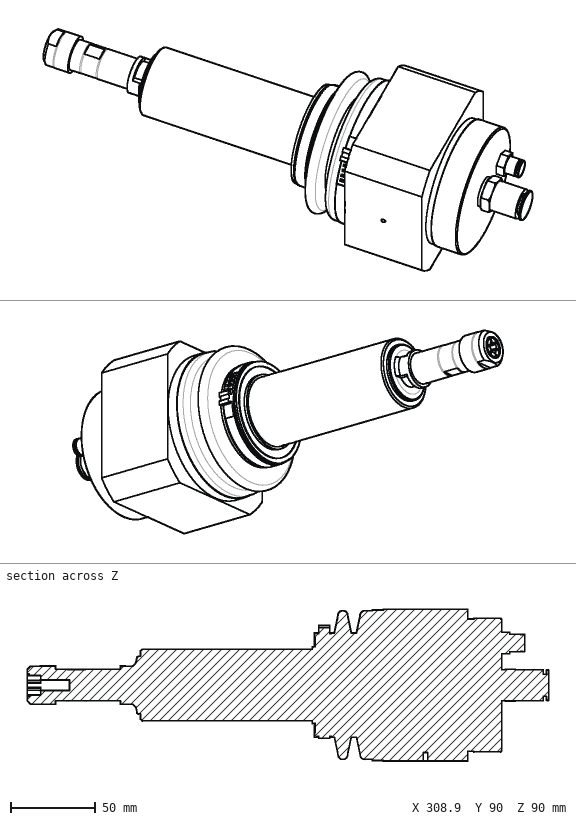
import cadquery as cq
import math

OVERALL_LENGTH = 308.89

NUT_D = 22.8
NUT_FLATS = 19.0
NUT_CHAMFER = 2.0
NUT_FLATS_END = 7.0
NUT_FRONT_D = 22.6
NUT_FRONT_END = 7.7
NUT_END = 16.8
NUT_MOUTH_D = 13.2
COLLET_D = 11.45
COLLET_GAP_DEPTH = 1.0
COLLET_BORE_D = 6.0
COLLET_BORE_DEPTH = 25.0
COLLET_SLOTS = 6
COLLET_SLOT_WIDTH = 0.7
COLLET_SLOT_DEPTH = 8.0

SHAFT_D = 19.0
SHAFT_FLATS = 17.0
SHAFT_RELIEF_D = 18.8
SHAFT_RELIEF_TAPER = 0.8
SHAFT_FLATS_START = 24.2
SHAFT_FLATS_END = 34.1

FLANGE_START = 55.2
FLANGE_END = 58.0
HUB_D = 18.5
LUG_WIDTH = 12.0
LUG_CONE_START = 62.6

COLLAR_START = 64.3
COLLAR_NOSE_D = 26.8
COLLAR_FACE_X = 65.0
COLLAR_FACE_D = 33.0
COLLAR_D = 34.4
SLEEVE_START = 67.1
SLEEVE_D = 42.6
SLEEVE_CHAMFER = 1.0
SLEEVE_RING_START = 168.7
SLEEVE_RING_D = 45.6

BOOT_START = 170.0
BOOT_NECK_D = 62.0
BOOT_RECESS_D = 56.0
BOOT_RECESS_DEPTH = 0.5
BOOT_BEAD_D = 88.4
BAND_GROOVE_D = 61.0
BAND_GROOVE_WIDTH = 0.9
FOLD_PITCH = 13.1
FOLD_START = 181.8
FOLD_BASE_WIDTH = 10.2
FOLD_SHOULDER_WIDTH = 6.0
FOLD_SHOULDER_D = 82.0

SMALL_BAND_START = 172.6
SMALL_BAND_END = 179.2
SMALL_BAND_D = 63.0
LARGE_BAND_START = 204.3
LARGE_BAND_D = 89.2
SMALL_EAR_ANGLE = 90.0
LARGE_EAR_ANGLE = -45.0
OVERLAP_THICKNESS = 0.5
OVERLAP_SHORT_ARC = 11.0
OVERLAP_LONG_ARC = 19.0
EAR_HEIGHT = 4.0
EAR_HEAD_HEIGHT = 2.0
EAR_WIDTH = 7.8
EAR_STEM_WIDTH = 5.0
EAR_DIMPLE_WIDTH = 2.8
EAR_DIMPLE_DEPTH = 1.2
WINDOWS = 4
WINDOW_FIRST_ARC = 6.3
WINDOW_PITCH = 3.2
WINDOW_SIZE = 1.2
WINDOW_LENGTH = 2.8

BLOCK_START = 210.9
BLOCK_END = 260.9
BLOCK_SIZE = 90.0
BLOCK_CORNER_D = 112.0
SIDE_HOLE_D = 2.5
SIDE_HOLE_DEPTH = 5.0

COVER_NECK_D = 78.5
COVER_NECK_END = 264.5
COVER_D = 79.5
COVER_END = 281.1
COVER_CHAMFER = 0.8

MAIN_HEX_START = 283.1
MAIN_HEX_END = 288.9
MAIN_HEX_FLATS = 19.0
MAIN_HEX_CHAMFER = 0.8
MAIN_BODY_D = 18.5
MAIN_BODY_END = 305.6
MAIN_GROOVE_D = 13.2
MAIN_RING_START = 307.5
SMALL_CONNECTOR_Y = 25.0
SMALL_HEX_END = 285.9
SMALL_HEX_FLATS = 13.0
SMALL_BODY_D = 10.6
SMALL_BODY_END = 292.2
SMALL_RING_START = 292.8
SMALL_RING_END = 294.7
SMALL_GROOVE_D = 9.9
RING_CHAMFER = 0.4


def cylinder(x_start, x_end, diameter, y=0.0):
    """Solid cylinder along X."""
    disc = cq.Workplane("YZ", origin=(x_start, y, 0)).circle(diameter / 2)
    return disc.extrude(x_end - x_start)


def block_between(x_start, x_end, y_size, z_size):
    """Rectangular block along X, centred on the axis."""
    face = cq.Workplane("YZ", origin=(x_start, 0, 0)).rect(y_size, z_size)
    return face.extrude(x_end - x_start)


def revolved(outline):
    """Solid of revolution about the X axis from (x, radius) points."""
    return cq.Workplane("XY").polyline(outline).close().revolve(360, (0, 0, 0), (1, 0, 0))


def flat_cutters(x_start, x_end, across_flats):
    """Two blocks that leave parallel flats facing +Z and -Z."""
    cutter = block_between(x_start, x_end, 2 * across_flats, across_flats)
    return cutter.translate((0, 0, across_flats)).union(cutter.translate((0, 0, -across_flats)))


def collet_nut():
    """Chamfered nut with two wrench flats and a ring-shaped gap around the collet."""
    outline = [
        (0, 0),
        (0, NUT_FRONT_D / 2 - NUT_CHAMFER),
        (NUT_CHAMFER, NUT_FRONT_D / 2),
        (NUT_FLATS_END, NUT_FRONT_D / 2),
        (NUT_FRONT_END, NUT_D / 2),
        (NUT_END, NUT_D / 2),
        (NUT_END, 0),
    ]
    nut = revolved(outline).cut(flat_cutters(0, NUT_FLATS_END, NUT_FLATS))
    gap = cylinder(0, COLLET_GAP_DEPTH, NUT_MOUTH_D).cut(cylinder(0, COLLET_GAP_DEPTH, COLLET_D))
    return nut.cut(gap)


def collet_opening():
    """Tool bore and the radial slots between the collet jaws."""
    opening = cylinder(0, COLLET_BORE_DEPTH, COLLET_BORE_D)
    for i in range(COLLET_SLOTS // 2):
        slot = block_between(0, COLLET_SLOT_DEPTH, COLLET_D, COLLET_SLOT_WIDTH)
        opening = opening.union(slot.rotate((0, 0, 0), (1, 0, 0), i * 360 / COLLET_SLOTS))
    return opening


def shaft():
    """Round shaft with a slightly relieved length that carries flats on its top and bottom."""
    outline = [
        (NUT_END, 0),
        (NUT_END, SHAFT_D / 2),
        (SHAFT_FLATS_START - SHAFT_RELIEF_TAPER, SHAFT_D / 2),
        (SHAFT_FLATS_START, SHAFT_RELIEF_D / 2),
        (SHAFT_FLATS_END, SHAFT_RELIEF_D / 2),
        (SHAFT_FLATS_END + SHAFT_RELIEF_TAPER, SHAFT_D / 2),
        (FLANGE_START, SHAFT_D / 2),
        (FLANGE_START, 0),
    ]
    return revolved(outline).cut(flat_cutters(SHAFT_FLATS_START, SHAFT_FLATS_END, SHAFT_FLATS))


def drive_flange():
    """Thin flange, hub and two side lugs that flare out towards the collar."""
    lug_outline = [
        (FLANGE_END, 0),
        (FLANGE_END, NUT_D / 2),
        (LUG_CONE_START, NUT_D / 2),
        (COLLAR_START, COLLAR_NOSE_D / 2),
        (COLLAR_START, 0),
    ]
    lugs = revolved(lug_outline).intersect(block_between(FLANGE_END, COLLAR_START, COLLAR_NOSE_D, LUG_WIDTH))
    return (
        cylinder(FLANGE_START, FLANGE_END, NUT_D)
        .union(cylinder(FLANGE_END, COLLAR_START, HUB_D))
        .union(lugs)
    )


def sleeve():
    """Front collar with a shallow conical face, and the long sleeve with its end ring."""
    edge_chamfer = (COLLAR_D - COLLAR_FACE_D) / 2
    collar_outline = [
        (COLLAR_START, 0),
        (COLLAR_START, COLLAR_NOSE_D / 2),
        (COLLAR_FACE_X, COLLAR_FACE_D / 2),
        (COLLAR_FACE_X + edge_chamfer, COLLAR_D / 2),
        (SLEEVE_START, COLLAR_D / 2),
        (SLEEVE_START, 0),
    ]
    collar = revolved(collar_outline)
    tube = cylinder(SLEEVE_START, SLEEVE_RING_START, SLEEVE_D).faces("<X").chamfer(SLEEVE_CHAMFER)
    return collar.union(tube).union(cylinder(SLEEVE_RING_START, BOOT_START, SLEEVE_RING_D))


def boot():
    """Bellows boot: a neck, one free rounded fold, and a second one running into the block."""
    neck = BOOT_NECK_D / 2
    shoulder = FOLD_SHOULDER_D / 2
    crest = BOOT_BEAD_D / 2
    flank = (FOLD_BASE_WIDTH - FOLD_SHOULDER_WIDTH) / 2
    crest_x = FOLD_START + FOLD_BASE_WIDTH / 2
    bulge = FOLD_SHOULDER_WIDTH / 2
    second = FOLD_START + FOLD_PITCH
    corner = math.sqrt(0.5)
    profile = (
        cq.Workplane("XY")
        .moveTo(BOOT_START, 0)
        .lineTo(BOOT_START, neck)
        .lineTo(FOLD_START, neck)
        .lineTo(FOLD_START + flank, shoulder)
        .threePointArc((crest_x, crest), (crest_x + bulge, shoulder))
        .lineTo(FOLD_START + FOLD_BASE_WIDTH, neck)
        .lineTo(second, neck)
        .lineTo(second + flank, shoulder)
        .threePointArc(
            (second + flank + bulge * (1 - corner), shoulder + (crest - shoulder) * corner),
            (second + flank + bulge, crest),
        )
        .lineTo(BLOCK_START, crest)
        .lineTo(BLOCK_START, 0)
        .close()
    )
    body = profile.revolve(360, (0, 0, 0), (1, 0, 0))
    for x_start in (SMALL_BAND_START - BAND_GROOVE_WIDTH, SMALL_BAND_END):
        x_end = x_start + BAND_GROOVE_WIDTH
        groove = cylinder(x_start, x_end, SMALL_BAND_D).cut(cylinder(x_start, x_end, BAND_GROOVE_D))
        body = body.cut(groove)
    recess_end = BOOT_START + BOOT_RECESS_DEPTH
    body = body.cut(cylinder(BOOT_START, recess_end, BOOT_RECESS_D))
    return body.union(cylinder(BOOT_START, recess_end, SLEEVE_RING_D))


def ear_clamp(x_start, x_end, diameter, ear_angle, long_side):
    """Band clamp with a crimped ear, built with the ear at +Z and then turned about X.

    long_side is +1 or -1: the Y side on which the windowed end of the band overlaps.
    """
    radius = diameter / 2
    outer = radius + OVERLAP_THICKNESS
    width = x_end - x_start
    plane = cq.Workplane("YZ", origin=(x_start, 0, 0))

    def on_arc(r, arc_length):
        angle = arc_length / radius
        return (r * math.sin(angle), r * math.cos(angle))

    short_end = -long_side * OVERLAP_SHORT_ARC
    long_end = long_side * OVERLAP_LONG_ARC
    middle = (short_end + long_end) / 2
    root = radius - OVERLAP_THICKNESS
    overlap = (
        plane.moveTo(*on_arc(root, short_end))
        .lineTo(*on_arc(outer, short_end))
        .threePointArc(on_arc(outer, middle), on_arc(outer, long_end))
        .lineTo(*on_arc(root, long_end))
        .threePointArc(on_arc(root, middle), on_arc(root, short_end))
        .close()
        .extrude(width)
    )

    ear_top = radius + EAR_HEIGHT
    head_base = ear_top - EAR_HEAD_HEIGHT
    half = EAR_WIDTH / 2
    stem = EAR_STEM_WIDTH / 2
    dimple = EAR_DIMPLE_WIDTH / 2
    ear = (
        plane.moveTo(-stem, root)
        .lineTo(-stem, head_base)
        .lineTo(-half, head_base)
        .lineTo(-half, ear_top)
        .lineTo(-dimple, ear_top)
        .threePointArc((0, ear_top - EAR_DIMPLE_DEPTH), (dimple, ear_top))
        .lineTo(half, ear_top)
        .lineTo(half, head_base)
        .lineTo(stem, head_base)
        .lineTo(stem, root)
        .close()
        .extrude(width)
    )

    clamp = cylinder(x_start, x_end, diameter).union(overlap).union(ear)
    for i in range(WINDOWS):
        arc_length = WINDOW_FIRST_ARC + i * WINDOW_PITCH
        window = (
            cq.Workplane("XY", origin=((x_start + x_end) / 2, 0, radius))
            .rect(WINDOW_LENGTH, WINDOW_SIZE)
            .extrude(2 * OVERLAP_THICKNESS)
        )
        turn = -long_side * math.degrees(arc_length / radius)
        clamp = clamp.cut(window.rotate((0, 0, 0), (1, 0, 0), turn))
    return clamp.rotate((0, 0, 0), (1, 0, 0), -ear_angle)


def housing_block():
    """Square block with its long edges turned to a common diameter, and a small hole in the -Y side."""
    block = block_between(BLOCK_START, BLOCK_END, BLOCK_SIZE, BLOCK_SIZE)
    block = block.intersect(cylinder(BLOCK_START, BLOCK_END, BLOCK_CORNER_D))
    hole_x = (BLOCK_START + BLOCK_END) / 2
    hole = (
        cq.Workplane("XZ", origin=(hole_x, -BLOCK_SIZE / 2, 0))
        .circle(SIDE_HOLE_D / 2)
        .extrude(-SIDE_HOLE_DEPTH)
    )
    return block.cut(hole)


def rear_cover():
    """Round cover behind the block, set off by a slightly smaller neck."""
    cover = cylinder(COVER_NECK_END, COVER_END, COVER_D).faces(">X").chamfer(COVER_CHAMFER)
    return cover.union(cylinder(BLOCK_END, COVER_NECK_END, COVER_NECK_D))


def hexagon(x_start, x_end, across_flats, y=0.0):
    """Hexagonal prism along X with two flats facing +Y and -Y."""
    face = cq.Workplane("YZ", origin=(x_start, y, 0)).transformed(rotate=(0, 0, 90))
    return face.polygon(6, across_flats / math.cos(math.pi / 6)).extrude(x_end - x_start)


def main_connector():
    """Central connector: hexagon with chamfered corners, round body and a grooved release ring."""
    hexagon_body = hexagon(MAIN_HEX_START, MAIN_HEX_END, MAIN_HEX_FLATS)
    corner_d = MAIN_HEX_FLATS / math.cos(math.pi / 6)
    turned = cylinder(MAIN_HEX_START, MAIN_HEX_END, corner_d).faces("|X").chamfer(MAIN_HEX_CHAMFER)
    hexagon_body = hexagon_body.intersect(turned)
    ring = cylinder(MAIN_RING_START, OVERALL_LENGTH, MAIN_BODY_D).faces("|X").chamfer(RING_CHAMFER)
    return (
        cylinder(COVER_END, MAIN_BODY_END, MAIN_BODY_D)
        .union(hexagon_body)
        .union(cylinder(MAIN_BODY_END, MAIN_RING_START, MAIN_GROOVE_D))
        .union(ring)
    )


def small_connector():
    """Offset connector: hexagon, round body and a release ring."""
    y = SMALL_CONNECTOR_Y
    ring = cylinder(SMALL_RING_START, SMALL_RING_END, SMALL_BODY_D, y).faces("|X").chamfer(RING_CHAMFER)
    return (
        hexagon(COVER_END, SMALL_HEX_END, SMALL_HEX_FLATS, y)
        .union(cylinder(SMALL_HEX_END, SMALL_BODY_END, SMALL_BODY_D, y))
        .union(cylinder(SMALL_BODY_END, SMALL_RING_START, SMALL_GROOVE_D, y))
        .union(ring)
    )


small_clamp = ear_clamp(SMALL_BAND_START, SMALL_BAND_END, SMALL_BAND_D, SMALL_EAR_ANGLE, -1)
large_clamp = ear_clamp(LARGE_BAND_START, BLOCK_START, LARGE_BAND_D, LARGE_EAR_ANGLE, -1)

result = (
    collet_nut()
    .union(shaft())
    .cut(collet_opening())
    .union(drive_flange())
    .union(sleeve())
    .union(boot())
    .union(small_clamp)
    .union(large_clamp)
    .union(housing_block())
    .union(rear_cover())
    .union(main_connector())
    .union(small_connector())
)